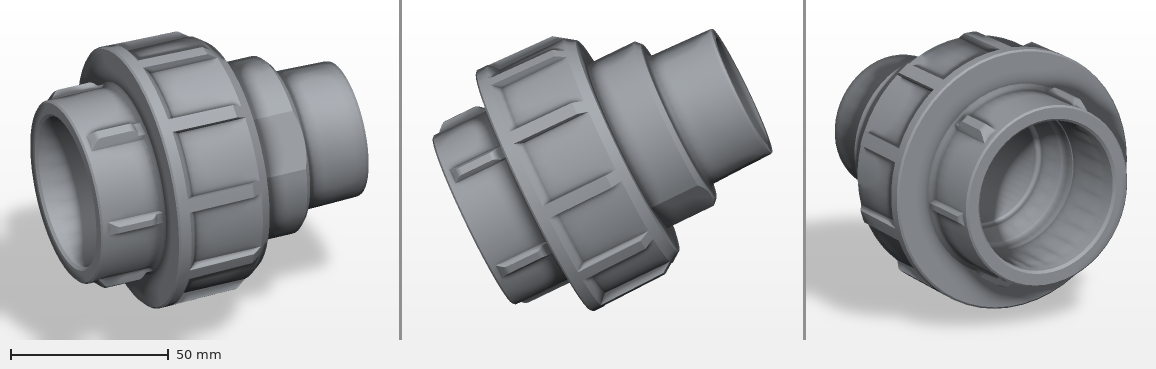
import cadquery as cq
import math


total_length = 95.0
nut_start = 21.5
nut_end = 54.6
joint_y = 38.0

cut_allowance = 1.0

socket_radius = 29.8
socket_edge_chamfer = 0.6
collar_radius = 31.4
collar_blend_radius = 1.34
collar_flare_angle = math.radians(45)
flange_radius = 35.0
flange_start = 27.0

bore_mouth_radius = 24.6
bore_mouth_chamfer = 0.85
bore_end_radius = 24.3
bore_depth = 24.5
seat_radius = 23.9
seat_end = 27.2
seat_blend_radius = 4.4
throat_start_radius = 22.9
throat_end_radius = 20.6

lug_axis_angle = 7.2
leaning_lug_offset = 57.4
lug_radius = 32.3
low_lug_radius = 31.0
lug_start = 1.5
lug_start_radius = 28.8
lug_top_end = 17.0
lug_neck_radius = 30.7
lug_bend_radius = 2.3
lug_foot_radius = 28.5
wide_lug_top_half_width = 1.05
tall_lug_flank_angle = 25.0
low_lug_flank_angle = 42.0
leaning_lug_top_half_width = 1.38
leaning_lug_lean_angle = 42.0
leaning_lug_draft_angle = 10.0

nut_flange_radius = 42.54
nut_flange_end = 25.6
nut_edge_chamfer = 0.6
rib_root_radius = 42.45
rib_tip_radius = 41.9
nut_cone_start = 47.9
nut_end_radius = 37.2
rib_count = 10
rib_half_angle = 3.0
pocket_floor_start = 28.4
pocket_radius = 39.5

body_radius = 28.9
body_chamfer = 1.65
body_end = 72.65
flat_distance = 27.3
flat_angle = 35
spigot_root_radius = 22.55
spigot_tip_radius = 22.05
spigot_root_y = 74.45
spigot_root_blend = spigot_root_y - body_end
spigot_taper_start = 75.4
spigot_tip_chamfer = 0.2
spigot_tip_chamfer_length = 0.9
spigot_bore_radius = 18.84
spigot_bore_rounding = 1.0


def revolve_about_y(profile, angle=360):
    """Turn a closed (radius, y) outline about the Y axis."""
    return profile.close().revolve(angle, (0, 0, 0), (0, 1, 0))


def lug_side_shape(top_radius):
    """Side shape of a lug: 45 degree start and flat top; a tall lug drops to a low neck next to the nut."""
    outline = (
        cq.Workplane("XY")
        .moveTo(lug_foot_radius, lug_start)
        .lineTo(lug_start_radius, lug_start)
        .lineTo(top_radius, lug_start + top_radius - lug_start_radius)
    )
    is_tall = top_radius > low_lug_radius
    if is_tall:
        outline = outline.lineTo(top_radius, lug_top_end)
        outline = outline.lineTo(lug_neck_radius, lug_top_end + top_radius - lug_neck_radius)
        outline = outline.lineTo(lug_neck_radius, nut_start)
    else:
        outline = outline.lineTo(top_radius, nut_start)
    shape = outline.lineTo(lug_foot_radius, nut_start).close().extrude(lug_foot_radius / 2, both=True)
    top_corners = shape.edges("|Z").edges(">X")
    if not is_tall:
        top_corners = top_corners.edges("<Y")
    return top_corners.fillet(lug_bend_radius)


def make_lug(angle, top_radius, top_half_width, lower_flank_angle, upper_flank_angle):
    """Lug at an angle about Y; each flank spreads from the top towards the foot by its own angle."""
    height = top_radius - lug_foot_radius
    lower_foot = top_half_width + height * math.tan(math.radians(lower_flank_angle))
    upper_foot = top_half_width + height * math.tan(math.radians(upper_flank_angle))
    section = (
        cq.Workplane("XZ")
        .polyline([
            (lug_foot_radius, -lower_foot),
            (top_radius, -top_half_width),
            (top_radius, top_half_width),
            (lug_foot_radius, upper_foot),
        ])
        .close()
        .extrude(-nut_start)
    )
    lug = section.intersect(lug_side_shape(top_radius))
    return lug.rotate((0, 0, 0), (0, 1, 0), -angle)


def make_lugs():
    lean = leaning_lug_lean_angle
    draft = leaning_lug_draft_angle
    wide_lugs = (
        (lug_axis_angle, lug_radius, tall_lug_flank_angle),
        (lug_axis_angle + 180, low_lug_radius, low_lug_flank_angle),
    )
    lugs = []
    for side_angle, wide_lug_radius, flank in wide_lugs:
        lugs.append(make_lug(side_angle, wide_lug_radius, wide_lug_top_half_width, flank, flank))
        upper_angle = side_angle + leaning_lug_offset
        lower_angle = side_angle - leaning_lug_offset
        lugs.append(make_lug(upper_angle, lug_radius, leaning_lug_top_half_width, lean, draft))
        lugs.append(make_lug(lower_angle, lug_radius, leaning_lug_top_half_width, draft, lean))
    return lugs


def make_socket():
    turn = collar_flare_angle
    blend_end_radius = socket_radius + collar_blend_radius * (1 - math.cos(turn))
    blend_end_y = nut_start - (collar_radius - blend_end_radius) / math.tan(turn)
    blend_start_y = blend_end_y - collar_blend_radius * math.sin(turn)
    blend_mid_radius = socket_radius + collar_blend_radius * (1 - math.cos(turn / 2))
    blend_mid_y = blend_start_y + collar_blend_radius * math.sin(turn / 2)
    seat_turn = math.acos(1 - (seat_radius - throat_start_radius) / seat_blend_radius)
    throat_start = seat_end + seat_blend_radius * math.sin(seat_turn)
    seat_blend_mid_radius = seat_radius - seat_blend_radius * (1 - math.cos(seat_turn / 2))
    seat_blend_mid_y = seat_end + seat_blend_radius * math.sin(seat_turn / 2)
    profile = (
        cq.Workplane("XY")
        .moveTo(bore_mouth_radius + bore_mouth_chamfer, 0)
        .lineTo(socket_radius - socket_edge_chamfer, 0)
        .lineTo(socket_radius, socket_edge_chamfer)
        .lineTo(socket_radius, blend_start_y)
        .threePointArc((blend_mid_radius, blend_mid_y), (blend_end_radius, blend_end_y))
        .lineTo(collar_radius, nut_start)
        .lineTo(collar_radius, flange_start)
        .lineTo(flange_radius, flange_start)
        .lineTo(flange_radius, joint_y)
        .lineTo(throat_end_radius, joint_y)
        .lineTo(throat_start_radius, throat_start)
        .threePointArc((seat_blend_mid_radius, seat_blend_mid_y), (seat_radius, seat_end))
        .lineTo(seat_radius, bore_depth)
        .lineTo(bore_end_radius, bore_depth)
        .lineTo(bore_mouth_radius, bore_mouth_chamfer)
    )
    body = revolve_about_y(profile)
    for lug in make_lugs():
        body = body.union(lug)
    return body


def make_pocket(angle):
    """Recess between two ribs, with a sloped floor beside the nut flange."""
    clear_radius = nut_flange_radius + cut_allowance
    profile = (
        cq.Workplane("XY")
        .moveTo(pocket_radius, pocket_floor_start)
        .lineTo(rib_root_radius, nut_flange_end)
        .lineTo(clear_radius, nut_flange_end)
        .lineTo(clear_radius, nut_end)
        .lineTo(pocket_radius, nut_end)
    )
    pocket = revolve_about_y(profile, 360 / rib_count - 2 * rib_half_angle)
    return pocket.rotate((0, 0, 0), (0, 1, 0), angle + rib_half_angle)


def make_nut():
    profile = (
        cq.Workplane("XY")
        .moveTo(collar_radius, nut_start)
        .lineTo(nut_flange_radius - nut_edge_chamfer, nut_start)
        .lineTo(nut_flange_radius, nut_start + nut_edge_chamfer)
        .lineTo(rib_tip_radius, nut_cone_start)
        .lineTo(nut_end_radius, nut_end)
        .lineTo(flange_radius, nut_end)
        .lineTo(flange_radius, flange_start)
        .lineTo(collar_radius, flange_start)
    )
    body = revolve_about_y(profile)
    first_rib_angle = 90
    for index in range(rib_count):
        body = body.cut(make_pocket(first_rib_angle + index * 360 / rib_count))
    return body


def make_flat(angle):
    """Block that shaves a wrench flat off the round body beyond the nut."""
    depth = body_radius - flat_distance + cut_allowance
    length = body_end - nut_end
    block = cq.Workplane("XY").box(depth, length, 2 * body_radius, centered=(False, False, True))
    return block.translate((flat_distance, nut_end, 0)).rotate((0, 0, 0), (0, 1, 0), -angle)


def make_spigot():
    corner = spigot_bore_rounding * (1 - math.sqrt(0.5))
    blend_mid = spigot_root_blend * (1 - math.sqrt(0.5))
    profile = (
        cq.Workplane("XY")
        .moveTo(spigot_bore_radius + spigot_bore_rounding, joint_y)
        .lineTo(flange_radius, joint_y)
        .lineTo(flange_radius, nut_end)
        .lineTo(body_radius, nut_end)
        .lineTo(body_radius, body_end - body_chamfer)
        .lineTo(body_radius - body_chamfer, body_end)
        .lineTo(spigot_root_radius + spigot_root_blend, body_end)
        .threePointArc(
            (spigot_root_radius + blend_mid, spigot_root_y - spigot_root_blend + blend_mid),
            (spigot_root_radius, spigot_root_y),
        )
        .lineTo(spigot_root_radius, spigot_taper_start)
        .lineTo(spigot_tip_radius, total_length - spigot_tip_chamfer_length)
        .lineTo(spigot_tip_radius - spigot_tip_chamfer, total_length)
        .lineTo(spigot_bore_radius, total_length)
        .lineTo(spigot_bore_radius, joint_y + spigot_bore_rounding)
        .threePointArc(
            (spigot_bore_radius + corner, joint_y + corner),
            (spigot_bore_radius + spigot_bore_rounding, joint_y),
        )
    )
    body = revolve_about_y(profile)
    for angle in (flat_angle, flat_angle + 180):
        body = body.cut(make_flat(angle))
    return body


socket = make_socket()
nut = make_nut()
spigot = make_spigot()

result = cq.Compound.makeCompound([socket.val(), nut.val(), spigot.val()])